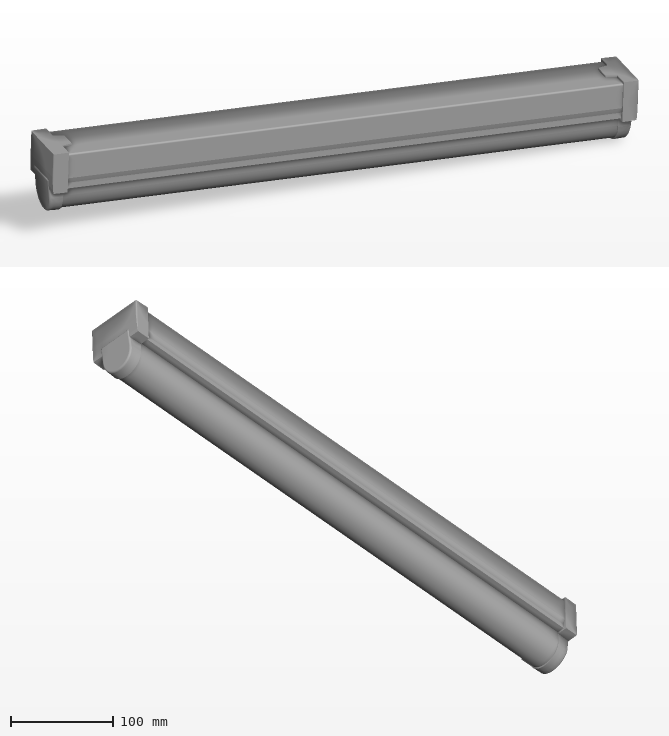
import cadquery as cq
import math

TILT = 2.0

CAP_WIDTH = 61.5
CAP_HEIGHT = 42.5
CAP_LENGTH = 16.0
CAP_DRAFT = 0.8
CAP_CORNER_RADIUS = 1.0
CAP_BEND_DEPTH = 24.5
CAP_LEAN = 2.7
CAP_FOOT_DEPTH = 38.0
CAP_FOOT_LEAN = 8.0
INNER_Y = 291.5
OUTER_Y = INNER_Y + CAP_LENGTH

TONGUE_ROOT_WIDTH = 26.0
TONGUE_TIP_WIDTH = 20.0
TONGUE_LENGTH = 11.0
TONGUE_SLOPE = 1.5

CHANNEL_TOP = -2.5
CHANNEL_WIDTH = 58.0
CHANNEL_TOP_RADIUS = 2.0
LIP_TOP = -28.5
LIP_BOTTOM = -34.0

TRAY_WIDTH = 54.0
TRAY_BOTTOM = -40.0

LENS_RADIUS = 19.0
LENS_AXIS = -51.0

LENS_CAP_RADIUS = 20.0
LENS_CAP_AXIS = -52.5
LENS_CAP_TOP = -CAP_BEND_DEPTH
LENS_CAP_STEP = -32.0
LENS_CAP_PROUD = 0.9
LENS_CAP_EDGE_RADIUS = 2.0
LENS_CAP_LEAN = 6.4
LENS_CAP_INSET = 0.5


def run(height, degrees):
    """Sideways travel of a face that leans by the given angle over a height."""
    return height * math.tan(math.radians(degrees))


def facing_minus_y(y):
    """Workplane at the given Y, with X to the right, Z up and extrusion towards -Y."""
    return cq.Workplane("XZ", origin=(0, y, 0))


def u_outline(plane, radius, axis_z, top_z):
    """U-shaped outline, flat at the top and round at the bottom."""
    return (
        plane.moveTo(-radius, top_z)
        .lineTo(radius, top_z)
        .lineTo(radius, axis_z)
        .threePointArc((0, axis_z - radius), (-radius, axis_z))
        .close()
    )


def side_prism(points, half_width=CAP_WIDTH / 2):
    """Prism from (Y, Z) outline points, reaching half_width to each side along X."""
    return cq.Workplane("YZ").polyline(points).close().extrude(half_width, both=True)


def make_channel():
    half_top = CHANNEL_WIDTH / 2
    half_bottom = TRAY_WIDTH / 2
    outline = [
        (-half_top, CHANNEL_TOP),
        (half_top, CHANNEL_TOP),
        (half_top, LIP_TOP),
        (half_bottom, LIP_BOTTOM),
        (-half_bottom, LIP_BOTTOM),
        (-half_top, LIP_TOP),
    ]
    body = facing_minus_y(0).polyline(outline).close().extrude(INNER_Y, both=True)
    return body.edges("|Y and >Z").fillet(CHANNEL_TOP_RADIUS)


def make_tray():
    height = LIP_BOTTOM - TRAY_BOTTOM
    middle = (LIP_BOTTOM + TRAY_BOTTOM) / 2
    return cq.Workplane("XY").box(TRAY_WIDTH, 2 * INNER_Y, height).translate((0, 0, middle))


def make_lens():
    return u_outline(facing_minus_y(0), LENS_RADIUS, LENS_AXIS, TRAY_BOTTOM).extrude(INNER_Y, both=True)


def cap_face_y(z):
    """Y of the leaning part of the -Y cap's end face at a height."""
    return -OUTER_Y + run(-CAP_BEND_DEPTH - z, CAP_LEAN)


def make_lens_cap():
    """Lens cap at the -Y end: a rounded cup with a flat tongue above it."""
    bottom = LENS_CAP_AXIS - LENS_CAP_RADIUS
    cup_face_y = cap_face_y(LENS_CAP_STEP) - LENS_CAP_PROUD
    cup_length = -INNER_Y - cup_face_y
    cup = u_outline(facing_minus_y(-INNER_Y), LENS_CAP_RADIUS, LENS_CAP_AXIS, LENS_CAP_STEP)
    cup = u_outline(
        cup.workplane(offset=cup_length),
        LENS_CAP_RADIUS - LENS_CAP_INSET,
        LENS_CAP_AXIS,
        LENS_CAP_STEP,
    ).loft(ruled=True)
    cup_side = [
        (-INNER_Y, LENS_CAP_STEP),
        (cup_face_y, LENS_CAP_STEP),
        (cup_face_y + run(LENS_CAP_STEP - bottom, LENS_CAP_LEAN), bottom),
        (-INNER_Y, bottom),
    ]
    tongue_side = [
        (-INNER_Y, LENS_CAP_TOP),
        (cap_face_y(LENS_CAP_TOP), LENS_CAP_TOP),
        (cap_face_y(LENS_CAP_STEP), LENS_CAP_STEP),
        (-INNER_Y, LENS_CAP_STEP),
    ]
    tongue = side_prism(tongue_side, LENS_CAP_RADIUS)
    cup = cup.intersect(side_prism(cup_side)).faces("<Y").edges().fillet(LENS_CAP_EDGE_RADIUS)
    return cup.union(tongue)


def make_cap_tongue():
    """Tapered tongue that slopes down from the -Y cap along the top of the channel."""
    tip_y = -INNER_Y + TONGUE_LENGTH
    plan = [
        (-TONGUE_ROOT_WIDTH / 2, -INNER_Y),
        (TONGUE_ROOT_WIDTH / 2, -INNER_Y),
        (TONGUE_TIP_WIDTH / 2, tip_y),
        (-TONGUE_TIP_WIDTH / 2, tip_y),
    ]
    side = [
        (-INNER_Y, 0),
        (tip_y, -run(TONGUE_LENGTH, TONGUE_SLOPE)),
        (tip_y, CHANNEL_TOP),
        (-INNER_Y, CHANNEL_TOP),
    ]
    return cq.Workplane("XY").polyline(plan).close().extrude(CHANNEL_TOP).intersect(side_prism(side))


def make_end_cap(lens_cap):
    """End cap at the -Y end, recessed to take the lens cap."""
    draft = run(CAP_LENGTH, CAP_DRAFT)
    block = (
        facing_minus_y(-INNER_Y)
        .center(0, -CAP_HEIGHT / 2)
        .rect(CAP_WIDTH, CAP_HEIGHT)
        .workplane(offset=CAP_LENGTH)
        .rect(CAP_WIDTH - 2 * draft, CAP_HEIGHT - 2 * draft)
        .loft(ruled=True)
        .faces("<Y")
        .edges("|Z")
        .fillet(CAP_CORNER_RADIUS)
    )
    foot_y = cap_face_y(-CAP_FOOT_DEPTH)
    side = [
        (-INNER_Y, 0),
        (-OUTER_Y, 0),
        (-OUTER_Y, -CAP_BEND_DEPTH),
        (foot_y, -CAP_FOOT_DEPTH),
        (foot_y + run(CAP_HEIGHT - CAP_FOOT_DEPTH, CAP_FOOT_LEAN), -CAP_HEIGHT),
        (-INNER_Y, -CAP_HEIGHT),
    ]
    block = block.intersect(side_prism(side))
    return block.union(make_cap_tongue()).cut(lens_cap)


def place(body):
    """The body's solid, tipped into its final attitude."""
    return body.rotate((0, 0, 0), (1, 0, 0), -TILT).val()


channel = place(make_channel())
tray = place(make_tray())
lens = place(make_lens())

end_bodies = []
lens_cap = make_lens_cap()
for body in (lens_cap, make_end_cap(lens_cap)):
    end_bodies.append(place(body))
    end_bodies.append(place(body.rotate((0, 0, 0), (0, 0, 1), 180)))

result = cq.Compound.makeCompound([channel, tray, lens, *end_bodies])